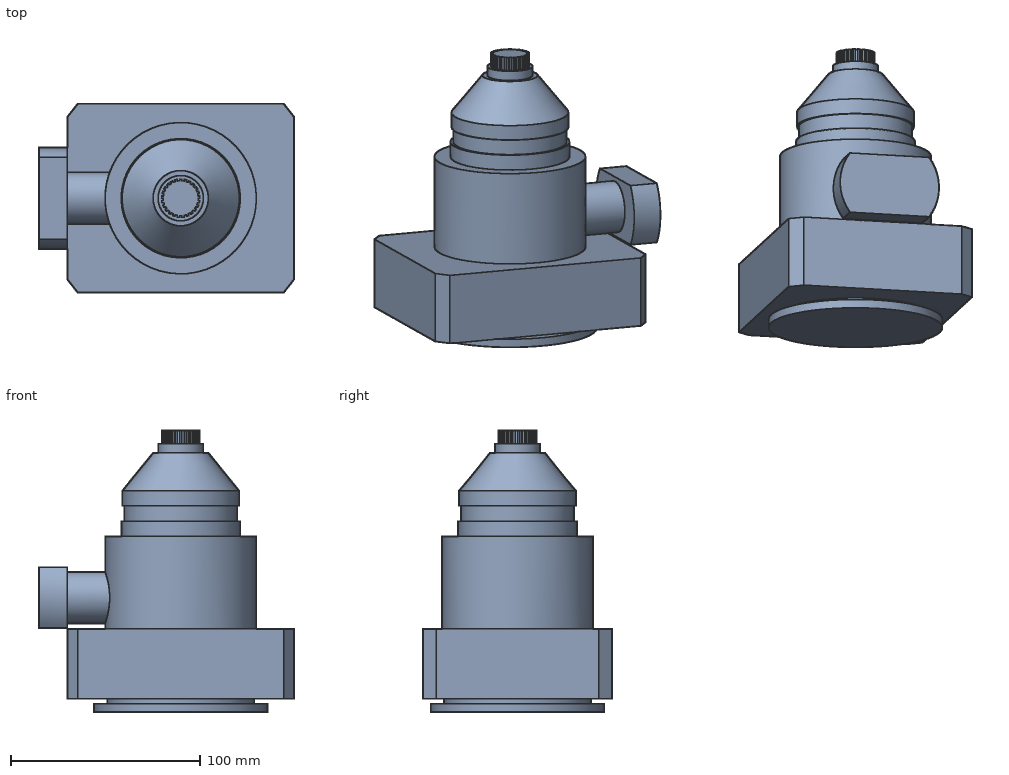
import cadquery as cq
import math

block_length = 120.0
block_width = 100.0
corner_cut_x = 5.5
corner_cut_y = 7.0

total_height = 149
flange_top = 4.5
block_bottom = 7.0
block_top = 44.0
body_top = 93.0
shoulder_top = 101.0
groove_top = 109.0
cone_bottom = 117.0
cone_top = 137.1
collar_top = 142.0

flange_diameter = 92.0
base_neck_diameter = 78.0
body_diameter = 80.0
shoulder_diameter = 63.0
groove_diameter = 60.0
cone_bottom_diameter = 62.0
cone_top_diameter = 29.2
collar_diameter = 24.0

knob_diameter = 20.3
knob_root_diameter = 18.5
tooth_count = 25
tooth_share = 0.5

handle_height = 60.5
stem_diameter = 27.4
disc_diameter = 54.0
disc_thickness = 15.0
disc_flat_distance = 32.2


def cylinder(diameter, bottom, top):
    """Solid cylinder on the main axis between two heights."""
    return cq.Workplane("XY").workplane(offset=bottom).circle(diameter / 2).extrude(top - bottom)


def polar_point(radius, angle):
    return (radius * math.cos(angle), radius * math.sin(angle))


def make_block():
    """Rectangular block with its four vertical corners cut off."""
    half_x = block_length / 2
    half_y = block_width / 2
    inner_x = half_x - corner_cut_x
    inner_y = half_y - corner_cut_y
    outline = [
        (half_x, -inner_y),
        (half_x, inner_y),
        (inner_x, half_y),
        (-inner_x, half_y),
        (-half_x, inner_y),
        (-half_x, -inner_y),
        (-inner_x, -half_y),
        (inner_x, -half_y),
    ]
    block = cq.Workplane("XY").workplane(offset=block_bottom).polyline(outline).close()
    return block.extrude(block_top - block_bottom)


def make_cone():
    """Truncated cone narrowing towards the collar."""
    cone = cq.Workplane("XY").workplane(offset=cone_bottom).circle(cone_bottom_diameter / 2)
    cone = cone.workplane(offset=cone_top - cone_bottom).circle(cone_top_diameter / 2)
    return cone.loft(ruled=True)


def make_serrated_knob():
    """Knob with straight teeth around its rim; one tooth points along +Y."""
    pitch = 2 * math.pi / tooth_count
    tooth_angle = pitch * tooth_share
    tip = knob_diameter / 2
    root = knob_root_diameter / 2
    first_edge = math.pi / 2 - tooth_angle / 2
    profile = cq.Workplane("XY").workplane(offset=collar_top).moveTo(*polar_point(root, first_edge))
    for tooth in range(tooth_count):
        start = first_edge + tooth * pitch
        end = start + tooth_angle
        following = start + pitch
        profile = profile.lineTo(*polar_point(tip, start))
        profile = profile.threePointArc(polar_point(tip, (start + end) / 2), polar_point(tip, end))
        profile = profile.lineTo(*polar_point(root, end))
        profile = profile.threePointArc(
            polar_point(root, (end + following) / 2), polar_point(root, following)
        )
    return profile.close().extrude(total_height - collar_top)


def make_handle():
    """Stem reaching the main axis, ending in a disc with flats above and below."""
    disc_inner_face = -block_length / 2
    stem_plane = cq.Workplane("YZ").center(0, handle_height)
    stem = stem_plane.circle(stem_diameter / 2).extrude(disc_inner_face)
    disc_plane = cq.Workplane("YZ").workplane(offset=disc_inner_face).center(0, handle_height)
    disc = disc_plane.circle(disc_diameter / 2).extrude(-disc_thickness)
    flats = disc_plane.rect(disc_diameter, disc_flat_distance).extrude(-disc_thickness)
    return stem.union(disc.intersect(flats))


result = (
    cylinder(flange_diameter, 0, flange_top)
    .union(cylinder(base_neck_diameter, flange_top, block_bottom))
    .union(make_block())
    .union(cylinder(body_diameter, block_top, body_top))
    .union(cylinder(shoulder_diameter, body_top, shoulder_top))
    .union(cylinder(groove_diameter, shoulder_top, groove_top))
    .union(cylinder(cone_bottom_diameter, groove_top, cone_bottom))
    .union(make_cone())
    .union(cylinder(collar_diameter, cone_top, collar_top))
    .union(make_serrated_knob())
    .union(make_handle())
)